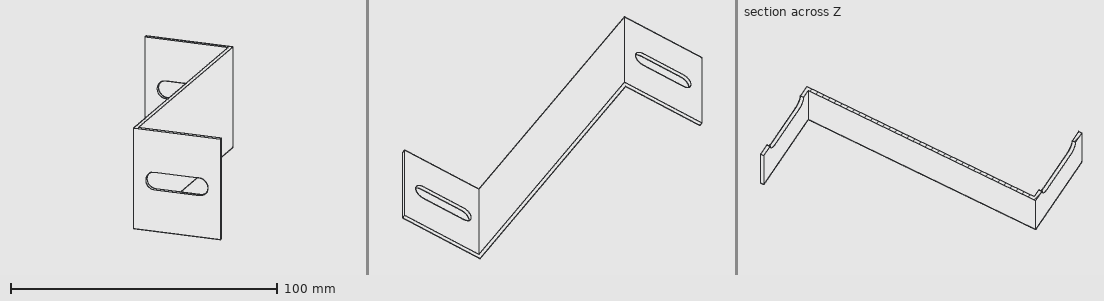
import cadquery as cq

thickness = 1.5
flange_length = 35.0
span = 100.0
height = 40.0
slot_length = 25.0
slot_width = 7.0

web_half = thickness / 2
flange_reach = flange_length - web_half
flange_centre_x = flange_reach - flange_length / 2
flange_centre_y = (span - thickness) / 2


def flange(side):
    """Slotted flange; side = +1 lies at -X/+Y, side = -1 at +X/-Y."""
    centre_x = -side * flange_centre_x
    centre_y = side * flange_centre_y
    plate = cq.Workplane("XY").box(flange_length, thickness, height)
    slot = (
        cq.Workplane("XZ")
        .slot2D(slot_length, slot_width)
        .extrude(thickness, both=True)
    )
    return plate.cut(slot).translate((centre_x, centre_y, 0))


result = cq.Workplane("XY").box(thickness, span, height)
for side in (1, -1):
    result = result.union(flange(side))